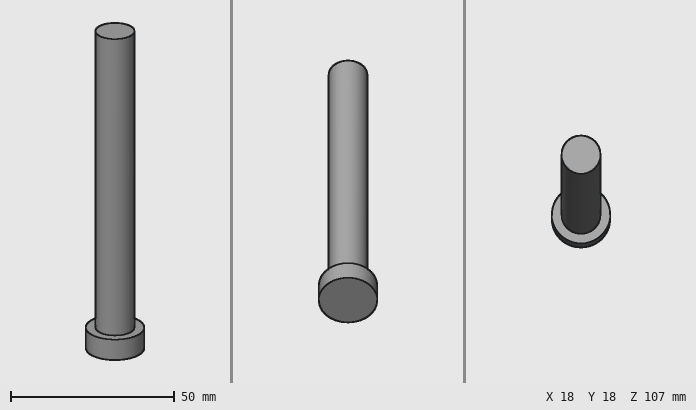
import cadquery as cq

total_length = 107.0
head_diameter = 18.0
head_height = 7.0
shaft_diameter = 12.0
shaft_length = total_length - head_height

head = cq.Workplane("XY").circle(head_diameter / 2).extrude(head_height)

result = head.faces(">Z").workplane().circle(shaft_diameter / 2).extrude(shaft_length)